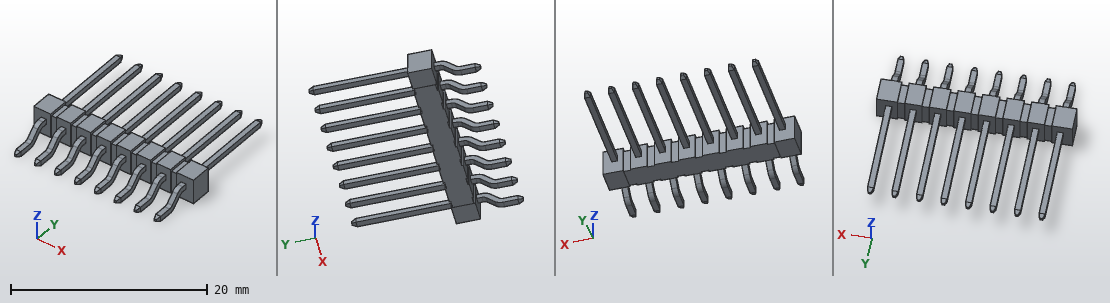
import cadquery as cq
import math

PIN_COUNT = 8
PITCH = 2.54
STRIP_LENGTH = PIN_COUNT * PITCH
BLOCK_DEPTH = 2.54
BLOCK_HEIGHT = 3.048
BLOCK_WIDTH = 1.778

WEB_TOP_STEP = 0.3048
WEB_SIDE_STEP = 0.1524
WEB_HEIGHT = BLOCK_HEIGHT - WEB_TOP_STEP
WEB_DEPTH = BLOCK_DEPTH - 2 * WEB_SIDE_STEP

PIN_SIZE = 0.635
PIN_BOTTOM = 1.465
PIN_TOP = PIN_BOTTOM + PIN_SIZE
TAIL_LENGTH = 10.668
FOOT_LENGTH = 4.826
TIP_LENGTH = 0.508
TIP_SIZE = 0.265
BEND_START = 0.54
BEND_ANGLE = math.radians(45)
BEND_INNER_RADIUS = 0.635
BEND_OUTER_RADIUS = BEND_INNER_RADIUS + PIN_SIZE

TAIL_END = BLOCK_DEPTH / 2 + TAIL_LENGTH
FOOT_END = -BLOCK_DEPTH / 2 - FOOT_LENGTH


def bar(left, right, depth, height):
    """Box that stands on Z = 0 between two X positions, centred on Y = 0."""
    return (
        cq.Workplane("XY")
        .box(right - left, depth, height, centered=(False, True, False))
        .translate((left, 0, 0))
    )


def block(left, right):
    """Full-height insulator block between two X positions."""
    return bar(left, right, BLOCK_DEPTH, BLOCK_HEIGHT)


def web(left, right):
    """Lower, shallower bar between two blocks."""
    return bar(left, right, WEB_DEPTH, WEB_HEIGHT)


def arc_point(center, radius, angle):
    """Point on a circle in the YZ plane, with the angle measured from +Y towards +Z."""
    return (center[0] + radius * math.cos(angle), center[1] + radius * math.sin(angle))


def pin_shank():
    """Pin without its tips: an S-bent profile with two opposite bends."""
    up = math.pi / 2
    upper_center = (-BLOCK_DEPTH / 2 - BEND_START, PIN_BOTTOM - BEND_INNER_RADIUS)

    arc_sum = BEND_OUTER_RADIUS + BEND_INNER_RADIUS
    arc_drop = arc_sum * (1 - math.cos(BEND_ANGLE))
    slope_run = (PIN_BOTTOM - arc_drop) / math.tan(BEND_ANGLE)
    lower_center = (
        upper_center[0] - arc_sum * math.sin(BEND_ANGLE) - slope_run,
        BEND_OUTER_RADIUS,
    )

    def upper(radius, share):
        return arc_point(upper_center, radius, up + share * BEND_ANGLE)

    def lower(radius, share):
        return arc_point(lower_center, radius, -up + share * BEND_ANGLE)

    tail_shoulder = TAIL_END - TIP_LENGTH
    foot_shoulder = FOOT_END + TIP_LENGTH
    return (
        cq.Workplane("YZ")
        .moveTo(tail_shoulder, PIN_TOP)
        .lineTo(*upper(BEND_OUTER_RADIUS, 0))
        .threePointArc(upper(BEND_OUTER_RADIUS, 0.5), upper(BEND_OUTER_RADIUS, 1))
        .lineTo(*lower(BEND_INNER_RADIUS, 1))
        .threePointArc(lower(BEND_INNER_RADIUS, 0.5), lower(BEND_INNER_RADIUS, 0))
        .lineTo(foot_shoulder, PIN_SIZE)
        .lineTo(foot_shoulder, 0)
        .lineTo(*lower(BEND_OUTER_RADIUS, 0))
        .threePointArc(lower(BEND_OUTER_RADIUS, 0.5), lower(BEND_OUTER_RADIUS, 1))
        .lineTo(*upper(BEND_INNER_RADIUS, 1))
        .threePointArc(upper(BEND_INNER_RADIUS, 0.5), upper(BEND_INNER_RADIUS, 0))
        .lineTo(tail_shoulder, PIN_BOTTOM)
        .close()
        .extrude(PIN_SIZE / 2, both=True)
    )


def pin_tip(end, z_bottom, direction):
    """Tapered square tip that ends at Y = end; direction is the sign of Y it points to."""
    shoulder = cq.Plane(
        origin=(0, end - direction * TIP_LENGTH, z_bottom + PIN_SIZE / 2),
        xDir=(1, 0, 0),
        normal=(0, direction, 0),
    )
    return (
        cq.Workplane(shoulder)
        .rect(PIN_SIZE, PIN_SIZE)
        .workplane(offset=TIP_LENGTH)
        .rect(TIP_SIZE, TIP_SIZE)
        .loft(ruled=True)
    )


def pin(x):
    """Complete pin centred on X = x."""
    whole = (
        pin_shank()
        .union(pin_tip(TAIL_END, PIN_BOTTOM, 1))
        .union(pin_tip(FOOT_END, 0, -1))
    )
    return whole.translate((x, 0, 0))


def pin_x(index):
    """X position of a pin, with the row centred on X = 0."""
    return (index - (PIN_COUNT - 1) / 2) * PITCH


def end_section(side):
    """Outermost block with its pin; side is -1 for left and 1 for right."""
    x = side * pin_x(PIN_COUNT - 1)
    outer = side * STRIP_LENGTH / 2
    inner = x - side * BLOCK_WIDTH / 2
    return block(min(outer, inner), max(outer, inner)).union(pin(x))


def middle_section():
    """Inner blocks with their pins, and the webs that reach both end sections."""

    def web_after(index):
        return web(pin_x(index) + BLOCK_WIDTH / 2, pin_x(index + 1) - BLOCK_WIDTH / 2)

    section = web_after(0)
    for index in range(1, PIN_COUNT - 1):
        x = pin_x(index)
        section = section.union(block(x - BLOCK_WIDTH / 2, x + BLOCK_WIDTH / 2))
        section = section.union(pin(x))
        section = section.union(web_after(index))
    return section


left_end = end_section(-1)
middle = middle_section()
right_end = end_section(1)

result = cq.Compound.makeCompound([left_end.val(), middle.val(), right_end.val()])